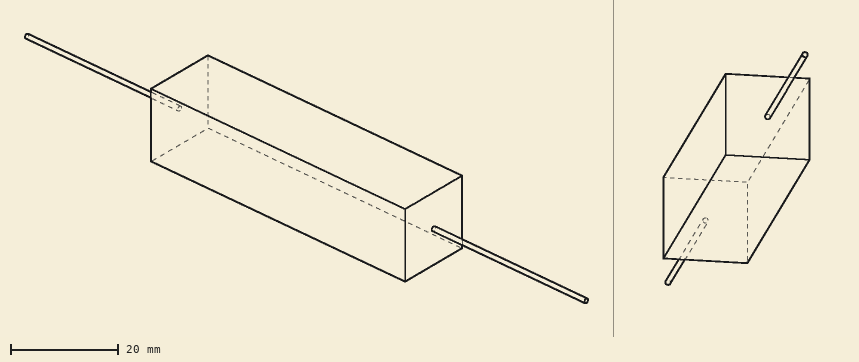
import cadquery as cq

body_length = 63.5
body_side = 15.87
lead_length = 38.1
lead_diameter = 1.02


def make_body():
    """Square bar along X, centred on the origin."""
    return cq.Workplane("XY").box(body_length, body_side, body_side)


def add_lead(part, end_face):
    """Round wire standing out from the middle of one end face."""
    return part.faces(end_face).workplane().circle(lead_diameter / 2).extrude(lead_length)


result = make_body()
for end_face in ("<X", ">X"):
    result = add_lead(result, end_face)